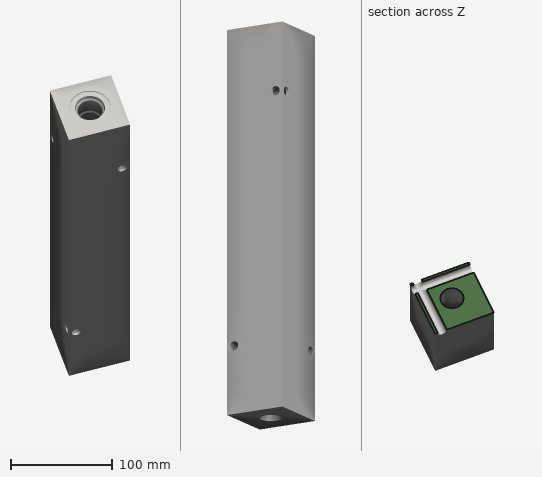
import cadquery as cq
import math

LENGTH = 393.7
WIDTH = 63.5

SPOT_FACE_DIAMETER = 41.0
SPOT_FACE_DEPTH = 0.8
MOUTH_DIAMETER = 29.5
TAPER_DEPTH = 2.8
TAPER_HALF_ANGLE = 15.0
PORT_DIAMETER = 24.8
PORT_DEPTH = 22.0
BORE_DIAMETER = 22.5

CROSS_HOLE_DIAMETER = 9.5
CROSS_HOLE_EDGE_DISTANCE = 8.0
CROSS_HOLE_END_DISTANCE = 69.5

CROSS_HOLE_OFFSET = WIDTH / 2 - CROSS_HOLE_EDGE_DISTANCE
CROSS_HOLE_HEIGHT = LENGTH / 2 - CROSS_HOLE_END_DISTANCE


def make_bar():
    return cq.Workplane("XY").box(WIDTH, WIDTH, LENGTH)


def make_bore():
    """Revolve the half section of everything removed along the central axis."""
    spot_face_radius = SPOT_FACE_DIAMETER / 2
    mouth_radius = MOUTH_DIAMETER / 2
    taper_end_radius = mouth_radius - TAPER_DEPTH * math.tan(math.radians(TAPER_HALF_ANGLE))
    port_radius = PORT_DIAMETER / 2
    bore_radius = BORE_DIAMETER / 2

    top = LENGTH / 2
    spot_face_level = top - SPOT_FACE_DEPTH
    taper_end_level = spot_face_level - TAPER_DEPTH
    port_end_level = top - PORT_DEPTH
    seat_end_level = taper_end_level - (taper_end_radius - port_radius)
    shoulder_end_level = port_end_level - (port_radius - bore_radius)

    half_section = [
        (0, top),
        (spot_face_radius, top),
        (spot_face_radius, spot_face_level),
        (mouth_radius, spot_face_level),
        (taper_end_radius, taper_end_level),
        (port_radius, seat_end_level),
        (port_radius, port_end_level),
        (bore_radius, shoulder_end_level),
        (bore_radius, -top),
        (0, -top),
    ]
    profile = cq.Workplane("XZ").polyline(half_section).close()
    return profile.revolve(360, (0, 0), (0, 1))


def make_cross_holes(side):
    """Return an X drill and a Y drill that meet near one corner; side is +1 (upper) or -1 (lower)."""
    height = side * CROSS_HOLE_HEIGHT
    offset = side * CROSS_HOLE_OFFSET
    along_x = cq.Workplane("YZ").center(offset, height)
    along_y = cq.Workplane("XZ").center(-offset, height)
    radius = CROSS_HOLE_DIAMETER / 2
    return [axis.circle(radius).extrude(WIDTH / 2, both=True) for axis in (along_x, along_y)]


result = make_bar().cut(make_bore())
for side in (1, -1):
    for drill in make_cross_holes(side):
        result = result.cut(drill)